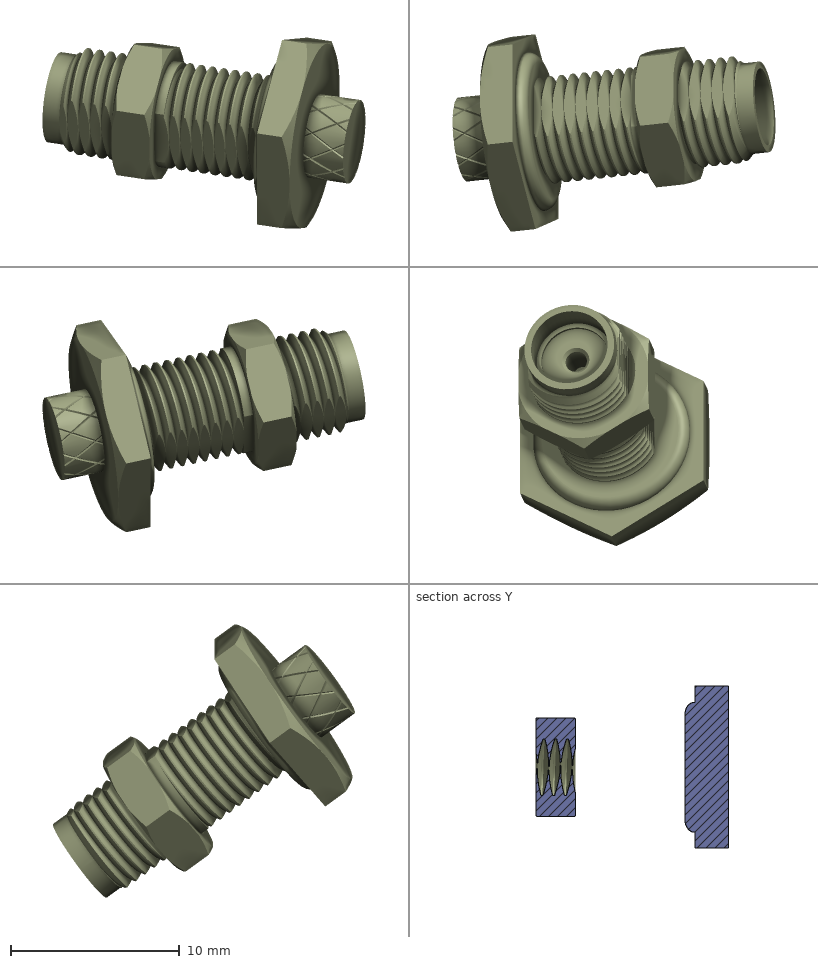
import cadquery as cq
import math


tip_end = 1.02
nut_front = 4.56
nut_back = 6.91
collar_end = 7.45
ring_front = 13.37
flange_front = 13.97
flange_back = 15.97
total_length = 18.4

thread_radius = 6.35 / 2
thread_depth = 0.52
thread_pitch = 0.694
thread_flank_angle = 30.0
thread_phase = 0.99
root_radius = thread_radius - thread_depth
barrel_half_flats = 2.7
tip_radius = 2.7

nut_across_flats = 7.8
nut_chamfer_radius = 3.95
flange_across_flats = 11.04
flange_chamfer_radius = 5.52
hex_chamfer_angle = 30.0

ring_radius = 4.72
ring_rounding = flange_front - ring_front

knurl_radius = 2.5
knurl_count = 10
knurl_helix_angle = 30.0
knurl_depth = 0.08
knurl_crossing = 16.37

bore_radius = 2.3
bore_depth = 1.9
recess_radius = 2.03
recess_depth = 0.2
contact_mouth_radius = 0.82
contact_radius = 0.64
contact_depth = 2.5

overlap = 0.3


def cylinder(radius, start, end):
    return cq.Workplane("XY").workplane(offset=start).circle(radius).extrude(end - start)


def revolve_outline(points):
    """Revolve an outline of (radius, height) points about the part axis."""
    return cq.Workplane("XZ").polyline(points).close().revolve(360, (0, 0, 0), (0, 1, 0))


def hex_prism(across_flats, start, end):
    corner_diameter = across_flats / math.cos(math.radians(30))
    return cq.Workplane("XY").workplane(offset=start).polygon(6, corner_diameter).extrude(end - start)


def chamfer_envelope(across_flats, face_radius, start, end, chamfer_front):
    """Turned blank whose cones take the corners off a hexagon."""
    outer = across_flats / math.cos(math.radians(30)) / 2 + overlap
    drop = (outer - face_radius) * math.tan(math.radians(hex_chamfer_angle))
    points = [(0, start), (outer, start), (outer, end - drop), (face_radius, end), (0, end)]
    if chamfer_front:
        points[1:2] = [(face_radius, start), (outer, start + drop)]
    return revolve_outline(points)


def helix_turn(radius, height):
    wire = cq.Wire.makeHelix(thread_pitch, thread_pitch, radius)
    return wire.translate(cq.Vector(0, 0, height))


def thread_turn(profile, height):
    """Flank, crest and flank surfaces of one turn, from (radius, height) profile points."""
    faces = []
    for (radius_a, height_a), (radius_b, height_b) in zip(profile, profile[1:]):
        lower = helix_turn(radius_a, height + height_a)
        upper = helix_turn(radius_b, height + height_b)
        faces += cq.Face.makeRuledSurface(lower, upper).Faces()
    return faces


def screw_end(profile, height):
    """Spiral ramp and radial step that close one end of the screw."""
    axis_step = cq.Edge.makeLine(cq.Vector(0, 0, height), cq.Vector(0, 0, height + thread_pitch))
    ramp = cq.Face.makeRuledSurface(cq.Wire.assembleEdges([axis_step]), helix_turn(root_radius, height))
    outline = [(0, 0)] + profile + [(0, thread_pitch)]
    points = [cq.Vector(radius, 0, height + rise) for radius, rise in outline]
    step = cq.Face.makeFromWires(cq.Wire.makePolygon(points, close=True))
    return ramp.Faces() + [step]


def screw(start, turns):
    """Right-handed solid screw whose groove faces +X at the start height."""
    flank_rise = thread_depth * math.tan(math.radians(thread_flank_angle))
    profile = [
        (root_radius, 0),
        (thread_radius, flank_rise),
        (thread_radius, thread_pitch - flank_rise),
        (root_radius, thread_pitch),
    ]
    faces = screw_end(profile, 0) + screw_end(profile, turns * thread_pitch)
    for turn in range(turns):
        faces += thread_turn(profile, turn * thread_pitch)
    solid = cq.Solid.makeSolid(cq.Shell.makeShell(faces))
    return cq.Workplane(solid.translate(cq.Vector(0, 0, start)))


def threaded_rod():
    """Screw trimmed square at both ends, with the conical lead-in at the front."""
    start = thread_phase - 2 * thread_pitch
    turns = math.ceil((flange_front - start) / thread_pitch) + 1
    blank_radius = thread_radius + overlap
    envelope = revolve_outline([
        (0, tip_end),
        (tip_radius, tip_end),
        (blank_radius, tip_end + blank_radius - tip_radius),
        (blank_radius, flange_front),
        (0, flange_front),
    ])
    return screw(start, turns).intersect(envelope)


def flatten(rod):
    slab = cq.Workplane("XY").box(
        4 * thread_radius, 2 * barrel_half_flats, flange_front, centered=(True, True, False)
    )
    return rod.intersect(slab)


def threaded_barrel(front_thread, rear_thread):
    """Both threads and the plain collar between them, with the two flats."""
    collar = cylinder(thread_radius, nut_back, collar_end)
    return flatten(front_thread).union(flatten(collar)).union(flatten(rear_thread))


def nut():
    blank = hex_prism(nut_across_flats, nut_front, nut_back)
    return blank.intersect(
        chamfer_envelope(nut_across_flats, nut_chamfer_radius, nut_front, nut_back, True)
    )


def nut_thread_gap(front_thread, side):
    """Part of the nut's thread left empty beside the flat on the given Y side."""
    gap_block = (
        cq.Workplane("XY")
        .workplane(offset=nut_front - overlap)
        .center(0, side * (barrel_half_flats + thread_radius / 2))
        .rect(4 * thread_radius, thread_radius)
        .extrude(nut_back - nut_front + overlap)
    )
    return front_thread.intersect(gap_block)


def flange():
    blank = hex_prism(flange_across_flats, flange_front, flange_back)
    blank = blank.intersect(
        chamfer_envelope(flange_across_flats, flange_chamfer_radius, flange_front, flange_back, False)
    )
    ring = cylinder(ring_radius, ring_front, flange_front + overlap)
    ring = ring.faces("<Z").edges().fillet(ring_rounding)
    return blank.union(ring)


def knurled_barrel():
    barrel = cylinder(knurl_radius, flange_back - overlap, total_length)
    lead = 2 * math.pi * knurl_radius / math.tan(math.radians(knurl_helix_angle))
    start = flange_back
    length = total_length + overlap - start
    outer = knurl_radius + knurl_depth
    root = knurl_radius - knurl_depth
    for hand in (1, -1):
        twist = hand * 360 * length / lead
        first = -90 - hand * 360 * (knurl_crossing - start) / lead
        groove = (
            cq.Workplane("XY")
            .polyline([(root, 0), (outer, 2 * knurl_depth), (outer, -2 * knurl_depth)])
            .close()
            .twistExtrude(length, twist)
            .translate((0, 0, start))
        )
        for i in range(knurl_count):
            barrel = barrel.cut(groove.rotate((0, 0, 0), (0, 0, 1), first + 360 * i / knurl_count))
    return barrel


def socket():
    recess_floor = bore_depth + recess_depth
    countersink = contact_mouth_radius - contact_radius
    return revolve_outline([
        (0, -overlap),
        (bore_radius, -overlap),
        (bore_radius, bore_depth),
        (recess_radius, bore_depth),
        (recess_radius, recess_floor),
        (contact_mouth_radius, recess_floor),
        (contact_radius, recess_floor + countersink),
        (contact_radius, recess_floor + contact_depth),
        (0, recess_floor + contact_depth),
    ])


rod = threaded_rod()
front_thread = rod.intersect(cylinder(2 * thread_radius, tip_end, nut_back))
rear_thread = rod.intersect(cylinder(2 * thread_radius, collar_end, flange_front))
body = threaded_barrel(front_thread, rear_thread).union(nut())
for side in (1, -1):
    body = body.cut(nut_thread_gap(front_thread, side))
body = body.union(cylinder(tip_radius, 0, tip_end))
body = body.union(flange())
body = body.union(knurled_barrel())
body = body.cut(socket())
result = body.rotate((0, 0, 0), (0, 1, 0), 90)